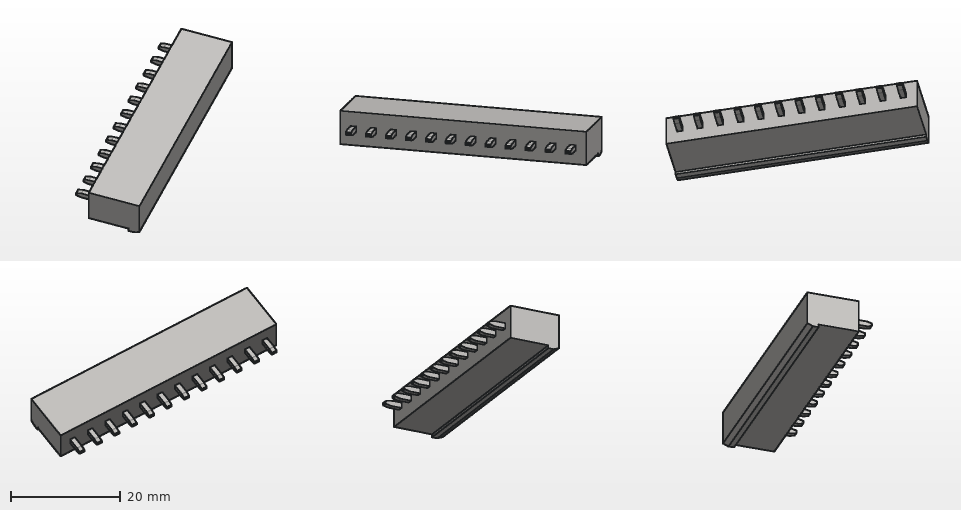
import cadquery as cq

body_width = 9.95
body_length = 47.05
body_height = 6.4

rib_depth = 0.55
rib_width = 2.15
rib_flat = 1.1
rib_edge_depth = 0.15

pin_count = 12
pin_pitch = 3.8
pin_size = 1.05
pin_length = 3.3
pin_taper_length = 1.05
pin_tip_height = 0.55
pin_bevel_length = 0.1
pin_bevel_height = 0.15
pin_z = 3.15


def make_housing():
    """Housing and rib as one profile, with the rib sloping up to the +X face."""
    rib_start = body_width - rib_width
    profile = [
        (0, 0),
        (rib_start, 0),
        (rib_start, -rib_depth),
        (rib_start + rib_flat, -rib_depth),
        (body_width, -rib_edge_depth),
        (body_width, body_height),
        (0, body_height),
    ]
    outline = cq.Workplane("XZ").polyline(profile).close()
    return outline.extrude(body_length / 2, both=True)


def make_pin(y):
    """One pin centred at y, standing out of the -X face."""
    bevel_start = pin_bevel_length - pin_length
    taper_start = pin_taper_length - pin_length
    profile = [
        (0, pin_z - pin_size / 2),
        (0, pin_z + pin_size / 2),
        (taper_start, pin_z + pin_size / 2),
        (bevel_start, pin_z + pin_tip_height / 2),
        (-pin_length, pin_z + pin_tip_height / 2 - pin_bevel_height),
        (-pin_length, pin_z - pin_tip_height / 2 + pin_bevel_height),
        (bevel_start, pin_z - pin_tip_height / 2),
        (taper_start, pin_z - pin_size / 2),
    ]
    outline = cq.Workplane("XZ").polyline(profile).close()
    return outline.extrude(pin_size / 2, both=True).translate((0, y, 0))


result = make_housing()
first_pin_y = -pin_pitch * (pin_count - 1) / 2
for index in range(pin_count):
    result = result.union(make_pin(first_pin_y + index * pin_pitch))